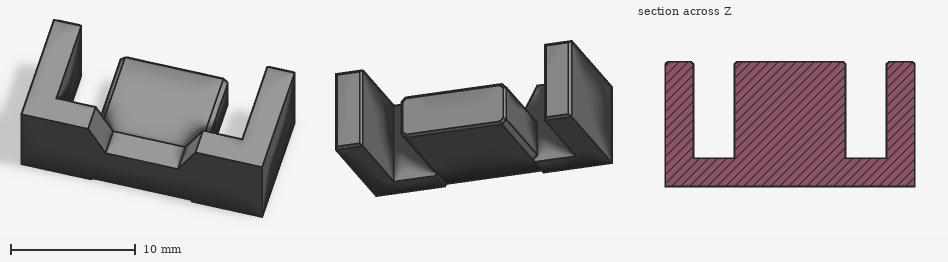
import cadquery as cq

length = 20.0
depth = 10.0
height = 6.65

wall = 2.28
end_chamfer = 0.2

notch_top_width = 8.92
notch_floor_width = 6.0
notch_depth = 2.72

post_width = 8.92
post_edge_chamfer = 0.38
recess_depth = 0.2
post_top_step = 0.18
recess_roof_width = post_width - 2 * post_edge_chamfer

notch_floor = height - notch_depth
post_height = notch_floor - post_top_step - recess_depth
side_slope = (notch_top_width - notch_floor_width) / 2 / notch_depth
recess_mouth_width = recess_roof_width + 2 * recess_depth * side_slope


def box_at(x_center, y_start, z_start, size_x, size_y, size_z):
    """Box centred in X on x_center, extending up in Y and Z."""
    corner = (x_center - size_x / 2, y_start, z_start)
    return cq.Workplane("XY").box(size_x, size_y, size_z, centered=False).translate(corner)


def wall_cutter(width_low, width_high, z_low, z_high):
    """Symmetric trapezoidal channel running through the wall along Y."""
    outline = [
        (-width_low / 2, z_low),
        (width_low / 2, z_low),
        (width_high / 2, z_high),
        (-width_high / 2, z_high),
    ]
    return cq.Workplane("XZ").polyline(outline).close().extrude(-wall)


def make_wall():
    notch = wall_cutter(notch_floor_width, notch_top_width, notch_floor, height)
    recess = wall_cutter(recess_mouth_width, recess_roof_width, 0, recess_depth)
    return box_at(0, 0, 0, length, wall, height).cut(notch).cut(recess)


def make_leg(side):
    leg = box_at(side * (length - wall) / 2, 0, 0, wall, depth, height)
    return leg.faces(">Y").chamfer(end_chamfer)


def make_post():
    """Post with chamfered long edges and a chamfered free end."""
    post = box_at(0, wall, recess_depth, post_width, depth - wall, post_height)
    return post.edges("|Y").chamfer(post_edge_chamfer).faces(">Y").chamfer(end_chamfer)


result = make_wall().union(make_post())
for side in (-1, 1):
    result = result.union(make_leg(side))